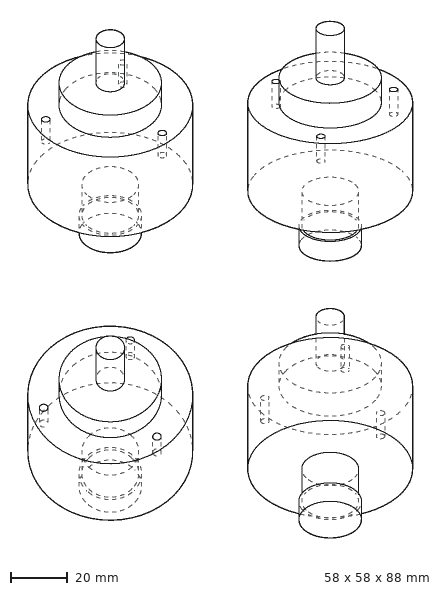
import cadquery as cq

end_diameter = 22.0
end_length = 8.0
neck_diameter = 20.0
neck_length = 14.0
body_diameter = 58.0
body_length = 36.0
flange_diameter = 36.0
flange_length = 10.0
shaft_diameter = 10.0
shaft_length = 20.0

hole_count = 3
hole_diameter = 3.0
hole_depth = 10.0
hole_circle_radius = 24.0

sections = [
    (end_diameter, end_length),
    (neck_diameter, neck_length),
    (body_diameter, body_length),
    (flange_diameter, flange_length),
    (shaft_diameter, shaft_length),
]


def stack_cylinders(sections):
    """Stack coaxial cylinders upward along Z, starting at Z = 0."""
    stack = cq.Workplane("XY")
    for diameter, length in sections:
        stack = stack.circle(diameter / 2).extrude(length).faces(">Z").workplane()
    return stack


def mounting_holes(top):
    """Evenly spaced hole cutters reaching down from the given height, the first on +X."""
    return (
        cq.Workplane("XY")
        .workplane(offset=top)
        .polarArray(hole_circle_radius, 0, 360, hole_count)
        .circle(hole_diameter / 2)
        .extrude(-hole_depth)
    )


body_top = end_length + neck_length + body_length
result = stack_cylinders(sections).cut(mounting_holes(body_top))